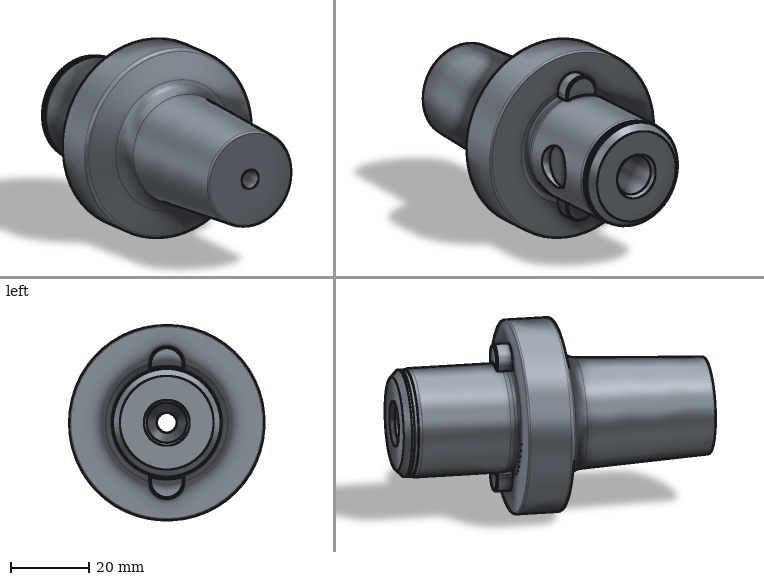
import cadquery as cq
import math

total_length = 81.5
AXIS_START, AXIS_END = (0, 0, 0), (1, 0, 0)

shank_radius = 14.0
shank_nose_chamfer = 1.8
land_radius = 13.8
ramp_end_x = 4.6

ring_groove_start_x = 2.45
ring_groove_width = 1.15
ring_groove_depth = 1.0
ring_fillet = 0.3

undercut_ramp_start_x = 27.55
undercut_ramp_length = 1.2
undercut_depth = 0.3
undercut_face_radius = 15.65
undercut_face_depth = 0.3
undercut_fillet = 0.6

flange_face_x = 30.0
flange_radius = 50.0 / 2
flange_face_fillet = 0.5
rim_end_x = 41.1
flange_back_angle = 15.0
rim_fillet = 1.0

neck_fillet = 4.0
taper_angle = 3.0
nose_radius = 12.55
nose_fillet = 0.5

rear_bore_radius = 5.1
rear_mouth_radius = 5.9
rear_mouth_depth = 1.2
rear_bore_depth = 24.45
through_hole_radius = 2.5
drill_point_half_angle = 59.0

seat_x = 17.3
seat_radius = 5.55
seat_depth = 2.45

key_radius = 4.5
key_center_z = 15.0
key_projection = 4.15
key_embedded_length = 3.3
key_chamfer = 0.4
key_corner_fillet = 0.4
key_shank_clearance = 0.1


def revolved(profile):
    """Solid of revolution about the X axis from (x, radius) points."""
    return cq.Workplane("XY").polyline(profile).close().revolve(360, AXIS_START, AXIS_END)


def circle_edge(x, radius):
    """Selector for the full circular edge of this radius at this x."""
    margin = 0.04
    reach = radius + margin
    return cq.selectors.BoxSelector((x - margin, -reach, -reach), (x + margin, reach, reach), boundingbox=True)


def holder_blank():
    """Turned outside of the holder: shank, flange and tapered nose."""
    shank_nose_radius = land_radius - shank_nose_chamfer
    groove_floor_radius = land_radius - ring_groove_depth
    groove_end_x = ring_groove_start_x + ring_groove_width
    undercut_radius = shank_radius - undercut_depth
    undercut_floor_x = flange_face_x + undercut_face_depth

    rim_corner_x = rim_end_x + rim_fillet * math.tan(math.radians(90 - flange_back_angle) / 2)
    back_slope = math.tan(math.radians(flange_back_angle))
    taper_slope = math.tan(math.radians(taper_angle))
    axial_gap = total_length - rim_corner_x - (flange_radius - nose_radius) * back_slope
    neck_radius = nose_radius + axial_gap * taper_slope / (1 - back_slope * taper_slope)
    neck_x = rim_corner_x + (flange_radius - neck_radius) * back_slope

    blank = revolved([
        (0, 0),
        (0, shank_nose_radius),
        (shank_nose_chamfer, land_radius),
        (ring_groove_start_x, land_radius),
        (ring_groove_start_x, groove_floor_radius),
        (groove_end_x, groove_floor_radius),
        (groove_end_x, land_radius),
        (ramp_end_x, shank_radius),
        (undercut_ramp_start_x, shank_radius),
        (undercut_ramp_start_x + undercut_ramp_length, undercut_radius),
        (undercut_floor_x, undercut_radius),
        (flange_face_x, undercut_face_radius),
        (flange_face_x, flange_radius),
        (rim_corner_x, flange_radius),
        (neck_x, neck_radius),
        (total_length, nose_radius),
        (total_length, 0),
    ])
    rounded_edges = [
        (undercut_floor_x, undercut_radius, undercut_fillet),
        (flange_face_x, flange_radius, flange_face_fillet),
        (rim_corner_x, flange_radius, rim_fillet),
        (neck_x, neck_radius, neck_fillet),
        (total_length, nose_radius, nose_fillet),
    ]
    for x, radius, fillet in rounded_edges:
        blank = blank.edges(circle_edge(x, radius)).fillet(fillet)
    return blank


def axial_bore():
    """Rear bore with conical mouth and drill-point floor, then a small hole right through."""
    radius_step = rear_bore_radius - through_hole_radius
    drill_point_length = radius_step / math.tan(math.radians(drill_point_half_angle))
    return revolved([
        (0, 0),
        (0, rear_mouth_radius),
        (rear_mouth_depth, rear_bore_radius),
        (rear_bore_depth, rear_bore_radius),
        (rear_bore_depth + drill_point_length, through_hole_radius),
        (total_length, through_hole_radius),
        (total_length, 0),
    ])


def screw_seat():
    """Blind round recess sunk into the shank from the +Y side."""
    return cq.Workplane("XZ", origin=(seat_x, shank_radius, 0)).circle(seat_radius).extrude(seat_depth)


def retaining_ring():
    """Ring that fills the groove flush with the land, with rounded outer corners."""
    ring = (
        cq.Workplane("YZ", origin=(ring_groove_start_x, 0, 0))
        .circle(land_radius)
        .circle(land_radius - ring_groove_depth)
        .extrude(ring_groove_width)
    )
    for x in (ring_groove_start_x, ring_groove_start_x + ring_groove_width):
        outer_edge = circle_edge(x, land_radius) - circle_edge(x, land_radius - ring_groove_depth)
        ring = ring.edges(outer_edge).fillet(ring_fillet)
    return ring


def drive_key():
    """Upper key: round top, straight sides, and an underside hollowed to straddle the shank."""
    hollow_radius = shank_radius + key_shank_clearance
    corner_z = math.sqrt(hollow_radius**2 - key_radius**2)
    key = (
        cq.Workplane("YZ", origin=(flange_face_x - key_projection, 0, 0))
        .moveTo(-key_radius, corner_z)
        .lineTo(-key_radius, key_center_z)
        .threePointArc((0, key_center_z + key_radius), (key_radius, key_center_z))
        .lineTo(key_radius, corner_z)
        .threePointArc((0, hollow_radius), (-key_radius, corner_z))
        .close()
        .extrude(key_projection + key_embedded_length)
    )
    lower_corners = key.edges("|X").edges("<Z")
    return lower_corners.fillet(key_corner_fillet).faces("<X").edges().chamfer(key_chamfer)


ring = retaining_ring()
keys = [drive_key().rotate(AXIS_START, AXIS_END, angle) for angle in (0, 180)]

holder = holder_blank().cut(axial_bore()).cut(screw_seat())
for key in keys:
    holder = holder.cut(key)

result = cq.Compound.makeCompound([holder.val(), ring.val(), *[key.val() for key in keys]])